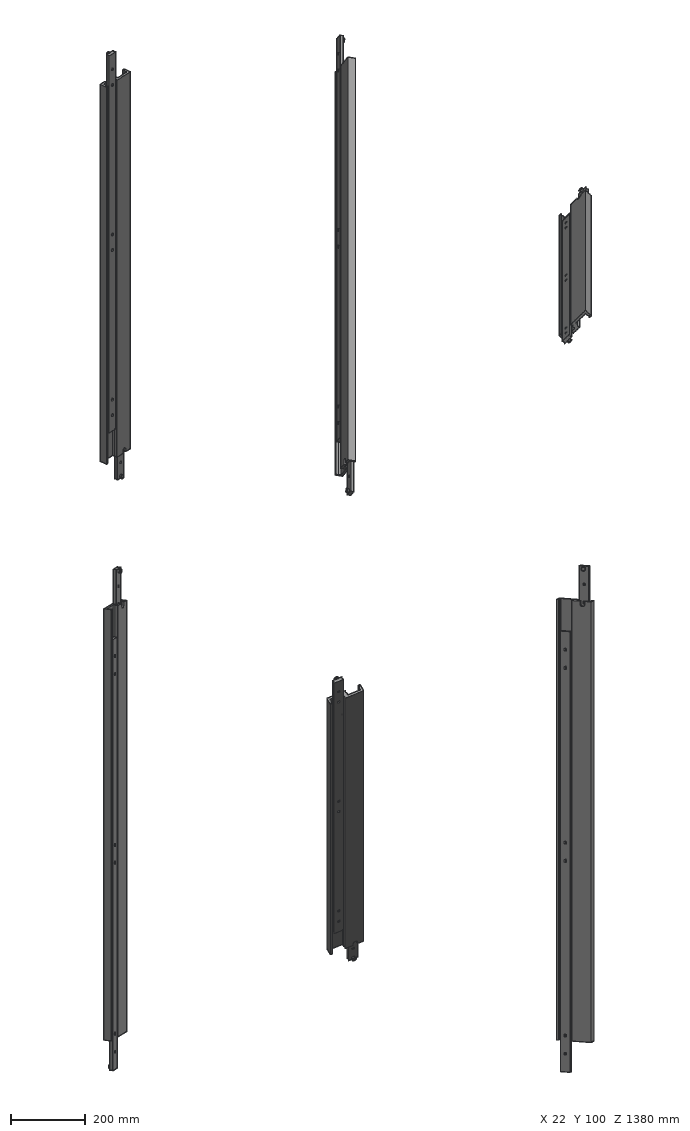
import cadquery as cq

depth = 22.0
width = 100.0
height = 1380.0
member_length = 1201.0

channel_bottom = 85.0
outer_wall = 7.0
centre_web = 12.0
back_wall = 7.0
notch_diameter = 12.0
notch_offset = 8.0

rail_width = 28.0
rail_depth = 10.0
race_radius = 4.0
hole_diameter = 7.0
slot_length = 8.0
hole_pitch = 50.0

head_diameter = 12.0
head_thickness = 1.0
neck_diameter = 10.0
neck_end = 4.0
stud_offset = 7.0

channel_width = (width - centre_web) / 2 - outer_wall
channel_y = (centre_web + channel_width) / 2
rail_face = -depth / 2
rail_back = rail_face + rail_depth
race_x = (rail_face + rail_back) / 2
pair_starts = [
    hole_pitch,
    (member_length - hole_pitch) / 2,
    member_length - 2 * hole_pitch,
]
hole_heights = [start + step * hole_pitch for start in pair_starts for step in (0, 1)]


def block(x_min, x_max, y_centre, y_size, z_min, z_size):
    """Box between two X planes, centred on y_centre and standing on z_min."""
    return (
        cq.Workplane("XY")
        .box(x_max - x_min, y_size, z_size, centered=(False, True, False))
        .translate((x_min, y_centre, z_min))
    )


def rod(x_min, x_max, y, z, diameter):
    """Cylinder along X."""
    return (
        cq.Workplane("YZ", origin=(x_min, 0, 0))
        .center(y, z)
        .circle(diameter / 2)
        .extrude(x_max - x_min)
    )


def opposite(body, z_centre):
    """Body turned end for end about z_centre, facing the opposite way in the other channel."""
    return body.rotate((0, 0, z_centre), (0, 1, z_centre), 180).mirror("XZ")


def lower_races(z_min):
    """Two round ball races along Z, centred in the gaps beside the lower rail."""
    race_y = (rail_width + channel_width) / 4
    return (
        cq.Workplane("XY", origin=(0, 0, z_min))
        .pushPoints([(race_x, channel_y - race_y), (race_x, channel_y + race_y)])
        .circle(race_radius)
        .extrude(member_length)
    )


def lower_notch():
    """U-shaped notch through the back wall, open at the bottom of the channel."""
    x_min = depth / 2 - back_wall
    x_max = depth / 2
    z = channel_bottom + notch_offset
    slot = block(x_min, x_max, channel_y, notch_diameter, channel_bottom, notch_offset)
    return slot.union(rod(x_min, x_max, channel_y, z, notch_diameter))


def make_double_channel():
    half = depth / 2
    body = block(-half, half, 0, width, channel_bottom, member_length)
    space = block(-half, half - back_wall, channel_y, channel_width, channel_bottom, member_length)
    for cutter in (space, lower_races(channel_bottom), lower_notch()):
        body = body.cut(cutter)
        body = body.cut(opposite(cutter, channel_bottom + member_length / 2))
    return body


def make_lower_rail():
    body = block(rail_face, rail_back, channel_y, rail_width, 0, member_length)
    body = body.cut(lower_races(0))
    body = body.cut(rod(rail_face, rail_back, channel_y, hole_heights[0], hole_diameter))
    slots = (
        cq.Workplane("YZ", origin=(rail_face, 0, 0))
        .pushPoints([(channel_y, z) for z in hole_heights[1:]])
        .slot2D(slot_length, hole_diameter, 90)
        .extrude(rail_depth)
    )
    body = body.cut(slots)
    body = body.union(rod(rail_back, neck_end, channel_y, stud_offset, neck_diameter))
    body = body.union(
        rod(neck_end, neck_end + head_thickness, channel_y, stud_offset, head_diameter)
    )
    return body


double_channel = make_double_channel()
lower_rail = make_lower_rail()
upper_rail = opposite(lower_rail, height / 2)

result = cq.Compound.makeCompound(
    [double_channel.val(), lower_rail.val(), upper_rail.val()]
)